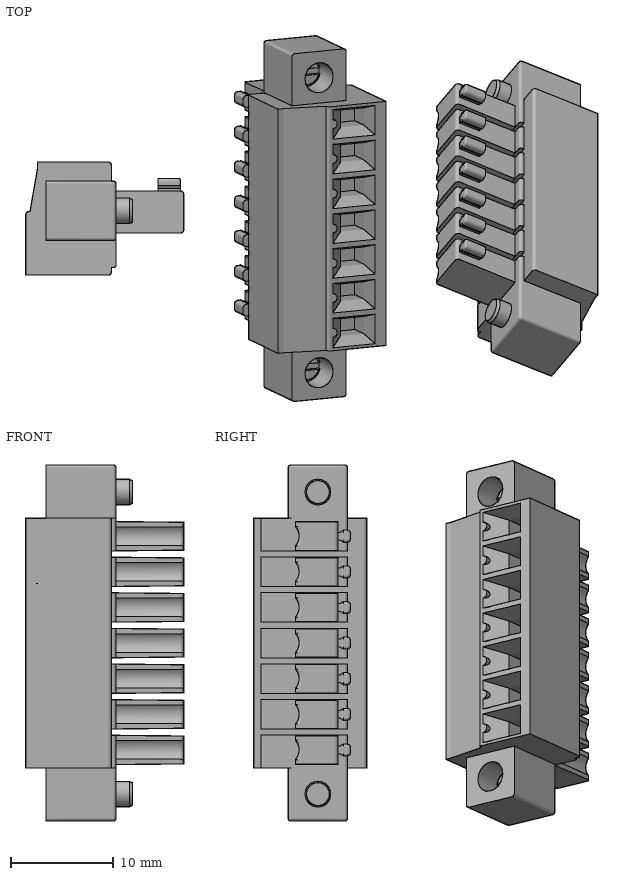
import cadquery as cq
import math

CONTACTS = 7
PITCH = 3.5
contact_levels = [(i - (CONTACTS - 1) / 2) * PITCH for i in range(CONTACTS)]

TOTAL_HEIGHT = 34.9
TOTAL_LENGTH = 15.5
BODY_WIDTH = 11.1

BODY_HEIGHT = 24.5
BODY_END = 8.4
BACK_RIM_START = 1.15
BODY_FILLET = 0.35

SLOPE_BACK_Y = 10.47
SLOPE_FRONT_Y = 6.25
SLOPE_FOOT_X = 0.42
STEP_FILLET = 0.3

BLOCK_START = 2.0
BLOCK_END = 8.85
BLOCK_FRONT = 3.4
BLOCK_BACK = 9.2
BLOCK_FILLET = 0.28

COLLAR_FRONT = 0.75

SOCKET_FRONT = 4.12
SOCKET_BACK = 8.27
SOCKET_BASE_HEIGHT = 2.9
SOCKET_TIP_HEIGHT = 2.75
SOCKET_TIP_FILLET = 0.35
GROOVE_WIDTH = 1.8
GROOVE_RADIUS = 1.4

RIB_START = 12.95
RIB_END = 15.18
RIB_BACK = 9.5
RIB_WIDTH = 1.2
RIB_NECK_WIDTH = 0.77
RIB_NECK_LENGTH = 0.2
RIB_UNDERCUT = 0.3
RIB_ROUND = 0.35
RIB_END_FILLET = 0.2

FUNNEL_DEPTH = BLOCK_START
FUNNEL_FRONT = 1.2
FUNNEL_BACK = 5.72
FUNNEL_HEIGHT = 2.95
SHAFT_FRONT = 1.45
SHAFT_BACK = 4.0
SHAFT_HEIGHT = 1.75
SHAFT_END = 4.2
BOSS_RADIUS = 0.45

SCREW_Y = (BLOCK_FRONT + BLOCK_BACK) / 2
SCREW_Z = 14.8
SCREW_HOLE_DIAMETER = 3.0
SCREW_HEAD_DEPTH = 2.8
SCREW_HEAD_CHAMFER = 0.25
SCREW_SLOT_WIDTH = 0.65
SCREW_SLOT_DEPTH = 0.52
SCREW_TIP_DIAMETER = 2.5
SCREW_TIP_END = 10.47
SCREW_TIP_CHAMFER_LENGTH = 0.3
SCREW_TIP_CHAMFER_DEPTH = 0.15


def box(x_range, y_range, height, z=0.0):
    """Box between two X and two Y limits, centred on the level z."""
    length = x_range[1] - x_range[0]
    width = y_range[1] - y_range[0]
    centre = (sum(x_range) / 2, sum(y_range) / 2, z)
    return cq.Workplane("XY").box(length, width, height).translate(centre)


def rod(diameter, start, end, y, z):
    """Round rod along X."""
    plane = cq.Workplane("YZ", origin=(start, y, z))
    return plane.circle(diameter / 2).extrude(end - start)


def make_body():
    return (
        cq.Workplane("XY", origin=(0, 0, -BODY_HEIGHT / 2))
        .moveTo(0, 0)
        .lineTo(BODY_END, 0)
        .lineTo(BODY_END, BODY_WIDTH)
        .lineTo(BACK_RIM_START, BODY_WIDTH)
        .lineTo(BACK_RIM_START, SLOPE_BACK_Y)
        .lineTo(SLOPE_FOOT_X, SLOPE_FRONT_Y)
        .lineTo(STEP_FILLET, SLOPE_FRONT_Y)
        .radiusArc((0, SLOPE_FRONT_Y - STEP_FILLET), -STEP_FILLET)
        .close()
        .extrude(BODY_HEIGHT)
        .edges("|Z and >X")
        .fillet(BODY_FILLET)
    )


def make_block():
    block = box((BLOCK_START, BLOCK_END), (BLOCK_FRONT, BLOCK_BACK), TOTAL_HEIGHT)
    return block.edges("not <X").fillet(BLOCK_FILLET)


def make_collar():
    collar = box((BLOCK_START, BLOCK_END), (COLLAR_FRONT, BLOCK_BACK), BODY_HEIGHT)
    return collar.edges("|Z and >X").fillet(BLOCK_FILLET)


def make_collar_gap(z):
    """Clearance between two neighbouring sockets, down to the housing."""
    return box((BODY_END, BLOCK_END), (0, BODY_WIDTH), PITCH - SOCKET_BASE_HEIGHT, z)


def make_socket(z):
    """Slightly tapered socket with a shallow round groove along its front."""
    base = SOCKET_BASE_HEIGHT / 2
    tip = SOCKET_TIP_HEIGHT / 2
    socket = (
        cq.Workplane("XZ", origin=(0, SOCKET_BACK, z))
        .polyline([(BODY_END, -base), (TOTAL_LENGTH, -tip), (TOTAL_LENGTH, tip), (BODY_END, base)])
        .close()
        .extrude(SOCKET_BACK - SOCKET_FRONT)
    )
    socket = socket.edges("|Z and >X").fillet(SOCKET_TIP_FILLET)
    return socket.cut(make_groove(z))


def make_groove(z):
    """Round groove whose edge rolls over at the socket tip."""
    axis_y = SOCKET_FRONT - math.sqrt(GROOVE_RADIUS**2 - (GROOVE_WIDTH / 2) ** 2)
    flare_radius = GROOVE_RADIUS + SOCKET_TIP_FILLET
    return (
        cq.Workplane("XY", origin=(0, axis_y, z))
        .moveTo(BLOCK_END, 0)
        .lineTo(BLOCK_END, GROOVE_RADIUS)
        .lineTo(TOTAL_LENGTH - SOCKET_TIP_FILLET, GROOVE_RADIUS)
        .radiusArc((TOTAL_LENGTH, flare_radius), -SOCKET_TIP_FILLET)
        .lineTo(TOTAL_LENGTH, 0)
        .close()
        .revolve(360, (0, 0, 0), (1, 0, 0))
    )


def make_rib(z):
    """Coding rib with a rounded head on an undercut neck."""
    half = RIB_WIDTH / 2
    neck = RIB_NECK_WIDTH / 2
    neck_end = SOCKET_BACK + RIB_NECK_LENGTH
    head_start = neck_end + RIB_UNDERCUT
    head = (
        box((RIB_START, RIB_END), (head_start, RIB_BACK), RIB_WIDTH, z)
        .edges("|X and >Y")
        .fillet(RIB_ROUND)
        .faces(">X")
        .edges("not <Y")
        .fillet(RIB_END_FILLET)
    )
    foot = box((RIB_START, RIB_END), (SOCKET_BACK, neck_end), RIB_NECK_WIDTH, z)
    undercut = (
        cq.Workplane("YZ", origin=(RIB_START, 0, z))
        .polyline([(neck_end, -neck), (head_start, -half), (head_start, half), (neck_end, neck)])
        .close()
        .extrude(RIB_END - RIB_START)
    )
    return head.union(undercut).union(foot)


def make_funnel(z):
    """Tapered wire entry and its shaft; a half-round boss stays on the rear wall."""
    mouth_y = (FUNNEL_FRONT + FUNNEL_BACK) / 2
    shaft_y = (SHAFT_FRONT + SHAFT_BACK) / 2
    funnel = (
        cq.Workplane("YZ", origin=(0, 0, z))
        .center(mouth_y, 0)
        .rect(FUNNEL_BACK - FUNNEL_FRONT, FUNNEL_HEIGHT)
        .workplane(offset=FUNNEL_DEPTH)
        .center(shaft_y - mouth_y, 0)
        .rect(SHAFT_BACK - SHAFT_FRONT, SHAFT_HEIGHT)
        .loft()
    )
    funnel = funnel.cut(rod(2 * BOSS_RADIUS, 0, FUNNEL_DEPTH, FUNNEL_BACK, z))
    shaft = box((FUNNEL_DEPTH, SHAFT_END), (SHAFT_FRONT, SHAFT_BACK), SHAFT_HEIGHT, z)
    return funnel.union(shaft)


def make_screw_recess(z):
    """Screw hole in front of the head, including the chamfer ring and the slot of the head."""
    head_top = BLOCK_START + SCREW_HEAD_DEPTH
    recess_end = head_top + SCREW_HEAD_CHAMFER
    recess = rod(SCREW_HOLE_DIAMETER, BLOCK_START, recess_end, SCREW_Y, z)
    head_bore = rod(SCREW_HOLE_DIAMETER, head_top, BLOCK_END, SCREW_Y, z)
    head = head_bore.faces("<X").chamfer(SCREW_HEAD_CHAMFER)
    slot_y = (SCREW_Y - SCREW_HOLE_DIAMETER / 2, SCREW_Y + SCREW_HOLE_DIAMETER / 2)
    slot = box((head_top, head_top + SCREW_SLOT_DEPTH), slot_y, SCREW_SLOT_WIDTH, z)
    return recess.cut(head).union(slot.intersect(head_bore))


def make_screw_tip(z):
    tip = rod(SCREW_TIP_DIAMETER, BLOCK_END, SCREW_TIP_END, SCREW_Y, z)
    return tip.faces(">X").chamfer(SCREW_TIP_CHAMFER_LENGTH, SCREW_TIP_CHAMFER_DEPTH)


result = make_body().union(make_collar()).union(make_block())
for lower, upper in zip(contact_levels, contact_levels[1:]):
    result = result.cut(make_collar_gap((lower + upper) / 2))
for level in contact_levels:
    result = result.union(make_socket(level)).union(make_rib(level)).cut(make_funnel(level))
for level in (-SCREW_Z, SCREW_Z):
    result = result.union(make_screw_tip(level)).cut(make_screw_recess(level))